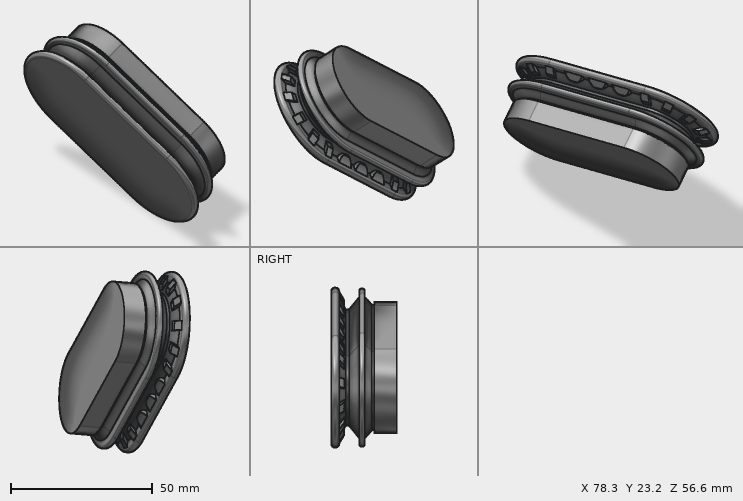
import cadquery as cq
import math

total_depth = 23.2
straight_length = 40.0
tilt = 22.5

flange_radius = 20.65
flange_thickness = 2.9

flare_base_radius = 16.8
groove_radius = 12.9
flare_end = 5.2
groove_end = 6.3

collar_straight = 36.8
collar_radius = 21.0
collar_start = 9.85
collar_thickness = 2.1
collar_root_radius = 17.2

undercut_radius = 14.55
undercut_start = 14.4
undercut_end = 15.25
plug_radius = 15.6

tooth_root_radius = 12.2
tooth_root_depth = 2.1
tooth_crest_depth = 4.6
tooth_crest_radius = 16.1
tooth_foot_radius = 19.1

rib_width = 3.3
ribs_per_end = 7
lugs_per_side = 3
lug_center_radius = 17.6
lug_crest_radius = 2.2
lug_draft = 45

collar_end = collar_start + collar_thickness
end_x = straight_length / 2
rib_step = 180 / (ribs_per_end - 1)
lug_spacing = straight_length / (lugs_per_side + 1)

tilt_rad = math.radians(tilt)
frame = cq.Plane(
    origin=(0, 0, 0),
    xDir=(math.cos(tilt_rad), 0, -math.sin(tilt_rad)),
    normal=(0, 1, 0),
)


def obround(start, end, start_radius, end_radius):
    """Obround slab between two depths, tapered when its radii differ."""
    height = end - start
    taper = math.degrees(math.atan2(start_radius - end_radius, height))
    sketch = cq.Workplane("XY").workplane(offset=start)
    return sketch.slot2D(straight_length + 2 * start_radius, 2 * start_radius).extrude(height, taper=taper)


def round_edged_obround(start, thickness, radius, straight):
    """Obround slab whose whole outer edge is a half round."""
    edge = thickness / 2
    flat = radius - edge
    half_section = (
        cq.Workplane("XZ")
        .moveTo(0, start)
        .lineTo(flat, start)
        .threePointArc((radius, start + edge), (flat, start + thickness))
        .lineTo(0, start + thickness)
        .close()
    )
    end_disc = half_section.revolve(360, (0, 0, 0), (0, 1, 0))
    slab = (
        cq.Workplane("YZ", origin=(0, 0, start + edge))
        .slot2D(2 * radius, thickness)
        .extrude(straight / 2, both=True)
    )
    for x in (-straight / 2, straight / 2):
        slab = slab.union(end_disc.translate((x, 0, 0)))
    return slab


def tooth(width):
    """Straight tooth running outward along local +x with a flat crest and a sloped outer side."""
    section = [
        (tooth_root_radius, tooth_root_depth),
        (tooth_root_radius, tooth_crest_depth),
        (tooth_crest_radius, tooth_crest_depth),
        (tooth_foot_radius, flange_thickness),
        (tooth_foot_radius, tooth_root_depth),
    ]
    return cq.Workplane("XZ").polyline(section).close().extrude(width / 2, both=True)


def place(shape, angle, x):
    """Turn a tooth to face the given angle and move it along the long axis."""
    return shape.rotate((0, 0, 0), (0, 0, 1), angle).translate((x, 0, 0))


body = round_edged_obround(0, flange_thickness, flange_radius, straight_length)
body = body.union(obround(flange_thickness, flare_end, flare_base_radius, groove_radius))
body = body.union(obround(flare_end, groove_end, groove_radius, groove_radius))
body = body.union(obround(groove_end, collar_start, groove_radius, collar_root_radius))
body = body.union(round_edged_obround(collar_start, collar_thickness, collar_radius, collar_straight))
body = body.union(obround(collar_end, undercut_start, collar_root_radius, undercut_radius))
body = body.union(obround(undercut_start, undercut_end, undercut_radius, undercut_radius))
body = body.union(obround(undercut_end, total_depth, plug_radius, plug_radius))

rib = tooth(rib_width)
for i in range(ribs_per_end):
    angle = -90 + i * rib_step
    body = body.union(place(rib, angle, end_x))
    body = body.union(place(rib, angle + 180, -end_x))

lug_height = tooth_crest_depth - tooth_root_depth
lug_base_radius = lug_crest_radius + lug_height * math.tan(math.radians(lug_draft))
lug_cone = (
    cq.Workplane("XY", origin=(lug_center_radius, 0, tooth_root_depth))
    .circle(lug_base_radius)
    .extrude(lug_height, taper=lug_draft)
)
lug = tooth(2 * lug_base_radius).intersect(lug_cone)
for i in range(lugs_per_side):
    x = (i + 1) * lug_spacing - end_x
    for angle in (90, -90):
        body = body.union(place(lug, angle, x))

result = cq.Workplane(body.val().moved(cq.Location(frame)))